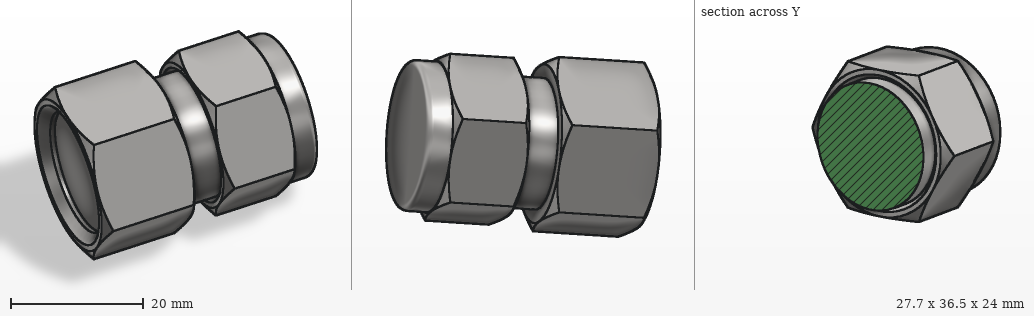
import cadquery as cq
import math

total_length = 36.5
nut_flats = 24.0
nut_length = 15.5
neck_diameter = 19.93
neck_length = 5.0
body_flats = 23.0
body_length = 12.0
collar_diameter = 22.85
collar_fillet = 1.0
mouth_diameter = 22.12
floor_diameter = 19.13
recess_depth = 2.3
relief_diameter = 21.3
corner_angle = 30.0

neck_start = nut_length
body_start = neck_start + neck_length
collar_start = body_start + body_length
collar_length = total_length - collar_start


def plane_at(y):
    """Plane at station y whose normal points along +Y."""
    return cq.Workplane(cq.Plane(origin=(0, y, 0), xDir=(1, 0, 0), normal=(0, 1, 0)))


def cylinder(y, diameter, length):
    return plane_at(y).circle(diameter / 2).extrude(length)


def chamfered_hexagon(y, flats, length):
    """Hexagonal prism with corners on the X axis and conical chamfers at both ends."""
    corners = flats / math.cos(math.pi / 6)
    prism = plane_at(y).polygon(6, corners).extrude(length)
    end_radius = flats / 2
    outer_radius = corners / 2
    drop = (outer_radius - end_radius) * math.tan(math.radians(corner_angle))
    envelope = (
        cq.Workplane("XY")
        .moveTo(0, y)
        .lineTo(end_radius, y)
        .lineTo(outer_radius, y + drop)
        .lineTo(outer_radius, y + length - drop)
        .lineTo(end_radius, y + length)
        .lineTo(0, y + length)
        .close()
        .revolve(360, (0, 0, 0), (0, 1, 0))
    )
    return prism.intersect(envelope)


def tapered_recess():
    """Recess open at Y = 0: a 45 degree taper, then a short straight wall to a flat floor."""
    taper_depth = (mouth_diameter - floor_diameter) / 2
    return (
        cq.Workplane("XY")
        .lineTo(mouth_diameter / 2, 0)
        .lineTo(floor_diameter / 2, taper_depth)
        .lineTo(floor_diameter / 2, recess_depth)
        .lineTo(0, recess_depth)
        .close()
        .revolve(360, (0, 0, 0), (0, 1, 0))
    )


nut = chamfered_hexagon(0, nut_flats, nut_length).cut(tapered_recess())
relief_depth = (relief_diameter - neck_diameter) / 2
neck = cylinder(neck_start, neck_diameter, neck_length + relief_depth)
neck_relief = plane_at(body_start).circle(relief_diameter / 2).extrude(relief_depth, taper=45)
body = chamfered_hexagon(body_start, body_flats, body_length).cut(neck_relief)
collar = cylinder(collar_start, collar_diameter, collar_length).faces(">Y").edges().fillet(collar_fillet)

result = nut.union(neck).union(body).union(collar)